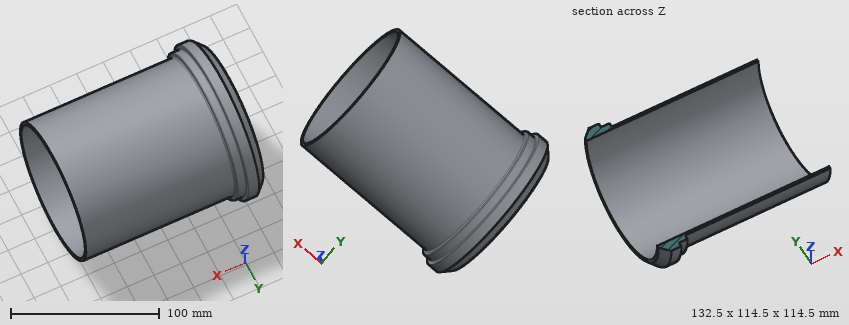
import cadquery as cq


bore_radius = 97.4 / 2
tube_radius = 101.7 / 2
shoulder_radius = 108.2 / 2
flange_radius = 114.5 / 2

flange_end = 14.2
shoulder_end = 20.7
tube_end = 132.5

bevel = 6.2
flange_round = 0.3
shoulder_round = 0.4
root_fillet = 0.9

profile = (
    cq.Workplane("XY")
    .moveTo(0, bore_radius)
    .lineTo(0, flange_radius - bevel)
    .lineTo(bevel, flange_radius)
    .lineTo(flange_end - flange_round, flange_radius)
    .radiusArc((flange_end, flange_radius - flange_round), flange_round)
    .lineTo(flange_end, shoulder_radius + shoulder_round)
    .radiusArc((flange_end + shoulder_round, shoulder_radius), -shoulder_round)
    .lineTo(shoulder_end - shoulder_round, shoulder_radius)
    .radiusArc((shoulder_end, shoulder_radius - shoulder_round), shoulder_round)
    .lineTo(shoulder_end, tube_radius + root_fillet)
    .radiusArc((shoulder_end + root_fillet, tube_radius), -root_fillet)
    .lineTo(tube_end, tube_radius)
    .lineTo(tube_end, bore_radius)
    .close()
)

result = profile.revolve(360, (0, 0, 0), (1, 0, 0))